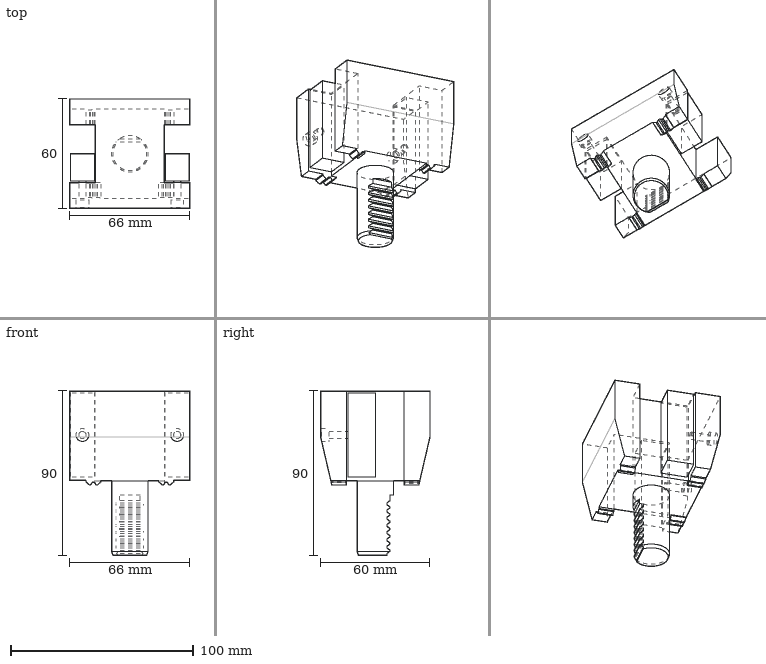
import cadquery as cq

WIDTH = 66.0
DEPTH = 60.0
HEIGHT = 49.2
OVERALL_LENGTH = 90.0

WEB_WIDTH = 38.0
FLANGE_DEPTH = 14.2
SLOT_WIDTH = (WIDTH - WEB_WIDTH) / 2
SLOT_DEPTH = DEPTH - 2 * FLANGE_DEPTH
SLOT_FRONT_Y = -SLOT_DEPTH / 2

TAPER_TOP_Z = HEIGHT - 25.2
TAPER_INSET = 6.1

TOOTH_PAIR_X = 20.0
TOOTH_PAIR_HALF_WIDTH = 4.1
TOOTH_PITCH = 3.8
TOOTH_TIP_WIDTH = 0.7
TOOTH_TIP_Z = -2.25
TOOTH_SIDE_Z = -0.45
TOOTH_GROOVE_Z = -0.7
TOOTH_GROOVE_WIDTH = 0.9
OUTER_EDGE_RISE = 0.315

SHANK_DIAMETER = 20.0
SHANK_LENGTH = OVERALL_LENGTH - HEIGHT
SHANK_CHAMFER_HEIGHT = 2.0
SHANK_CHAMFER_INSET = 0.7
FLAT_Y = 8.2
FLAT_TOP_Z = -7.8
RACK_ROOT_Y = 6.5
RACK_PITCH = 4.0
RACK_FIRST_GROOVE_Z = -12.5
RACK_GROOVE_COUNT = 8
RACK_ROOT_WIDTH = 1.1
RACK_MOUTH_WIDTH = 3.5

JAW_WIDTH = 13.3
JAW_DEPTH = 15.0
JAW_HEIGHT = 46.1
JAW_TOP_DROP = 1.0
JAW_FRONT_GAP = 0.8
JAW_X = (WEB_WIDTH + SLOT_WIDTH) / 2
JAW_CENTER_Z = HEIGHT - JAW_TOP_DROP - JAW_HEIGHT / 2
JAW_FRONT_Y = SLOT_FRONT_Y + JAW_FRONT_GAP

PIN_DIAMETER = 4.0
HEAD_DIAMETER = 7.0
HEAD_LENGTH = 4.0
HEAD_COVER = 0.6
HEAD_FRONT_Y = HEAD_COVER - DEPTH / 2

SIDES = (-1, 1)


def make_block():
    """I-shaped block, tapered at the front and back, down to the level of the tooth tips."""
    taper_bottom_y = DEPTH / 2 - TAPER_INSET
    block = (
        cq.Workplane("YZ")
        .moveTo(-DEPTH / 2, HEIGHT)
        .lineTo(-DEPTH / 2, TAPER_TOP_Z)
        .lineTo(-taper_bottom_y, TOOTH_TIP_Z)
        .lineTo(taper_bottom_y, TOOTH_TIP_Z)
        .lineTo(DEPTH / 2, TAPER_TOP_Z)
        .lineTo(DEPTH / 2, HEIGHT)
        .close()
        .extrude(WIDTH / 2, both=True)
    )
    for side in SIDES:
        slot = cq.Workplane("XY").box(SLOT_WIDTH, SLOT_DEPTH, 2 * OVERALL_LENGTH)
        block = block.cut(slot.translate((side * JAW_X, 0, 0)))
    web_underside = cq.Workplane("XY").box(
        WEB_WIDTH, DEPTH - FLANGE_DEPTH, -TOOTH_TIP_Z, centered=(True, False, False)
    )
    return block.cut(web_underside.translate((0, SLOT_FRONT_Y, TOOTH_TIP_Z)))


def underside_points():
    """Right half of the flange underside, from the middle to the outer edge."""
    inner_tip = TOOTH_PAIR_X - TOOTH_PITCH / 2
    outer_tip = TOOTH_PAIR_X + TOOTH_PITCH / 2
    half_tip = TOOTH_TIP_WIDTH / 2
    half_groove = TOOTH_GROOVE_WIDTH / 2
    inner_side = TOOTH_PAIR_X - TOOTH_PAIR_HALF_WIDTH
    outer_side = TOOTH_PAIR_X + TOOTH_PAIR_HALF_WIDTH
    return [
        (inner_side, 0),
        (inner_side, TOOTH_SIDE_Z),
        (inner_tip - half_tip, TOOTH_TIP_Z),
        (inner_tip + half_tip, TOOTH_TIP_Z),
        (TOOTH_PAIR_X - half_groove, TOOTH_GROOVE_Z),
        (TOOTH_PAIR_X + half_groove, TOOTH_GROOVE_Z),
        (outer_tip - half_tip, TOOTH_TIP_Z),
        (outer_tip + half_tip, TOOTH_TIP_Z),
        (outer_side, TOOTH_SIDE_Z),
        (outer_side, OUTER_EDGE_RISE),
        (WIDTH / 2, OUTER_EDGE_RISE),
    ]


def make_tooth_envelope():
    """Prism along Y that bounds the block from below with the tooth profile."""
    right_half = underside_points()
    left_half = [(-x, z) for x, z in reversed(right_half)]
    corners = [(-WIDTH / 2, HEIGHT), *left_half, *right_half, (WIDTH / 2, HEIGHT)]
    return cq.Workplane("XZ").polyline(corners).close().extrude(DEPTH / 2, both=True)


def make_shank():
    """Round shank with a tapered end, a flat on the back and rack grooves across the flat."""
    radius = SHANK_DIAMETER / 2
    shank = (
        cq.Workplane("XZ")
        .moveTo(0, 0)
        .lineTo(radius, 0)
        .lineTo(radius, SHANK_CHAMFER_HEIGHT - SHANK_LENGTH)
        .lineTo(radius - SHANK_CHAMFER_INSET, -SHANK_LENGTH)
        .lineTo(0, -SHANK_LENGTH)
        .close()
        .revolve(360, (0, 0, 0), (0, 1, 0))
    )
    flat = cq.Workplane("XY").box(
        SHANK_DIAMETER, SHANK_DIAMETER, SHANK_LENGTH, centered=(True, False, False)
    )
    shank = shank.cut(flat.translate((0, FLAT_Y, FLAT_TOP_Z - SHANK_LENGTH)))

    half_root = RACK_ROOT_WIDTH / 2
    half_mouth = RACK_MOUTH_WIDTH / 2
    groove = (
        cq.Workplane("YZ")
        .polyline([
            (RACK_ROOT_Y, -half_root),
            (FLAT_Y, -half_mouth),
            (FLAT_Y, half_mouth),
            (RACK_ROOT_Y, half_root),
        ])
        .close()
        .extrude(SHANK_DIAMETER, both=True)
    )
    for index in range(RACK_GROOVE_COUNT):
        shank = shank.cut(groove.translate((0, 0, RACK_FIRST_GROOVE_Z - index * RACK_PITCH)))
    return shank


def make_headed_pin(side):
    """Pin from the jaw face into the front flange, ending in a wider head."""
    head = (
        cq.Workplane("XZ", origin=(side * JAW_X, HEAD_FRONT_Y + HEAD_LENGTH, JAW_CENTER_Z))
        .circle(HEAD_DIAMETER / 2)
        .extrude(HEAD_LENGTH)
    )
    stem = (
        cq.Workplane("XZ", origin=(side * JAW_X, JAW_FRONT_Y, JAW_CENTER_Z))
        .circle(PIN_DIAMETER / 2)
        .extrude(JAW_FRONT_Y - HEAD_FRONT_Y)
    )
    return head.union(stem)


def make_jaw(side):
    """Rectangular clamping jaw with its headed guide pin."""
    jaw_center = (side * JAW_X, JAW_FRONT_Y + JAW_DEPTH / 2, JAW_CENTER_Z)
    jaw = cq.Workplane("XY").box(JAW_WIDTH, JAW_DEPTH, JAW_HEIGHT).translate(jaw_center)
    return jaw.union(make_headed_pin(side))


def make_housing():
    """Block and shank in one piece, with a fitting bore for each headed pin."""
    housing = make_block().intersect(make_tooth_envelope()).union(make_shank())
    for side in SIDES:
        housing = housing.cut(make_headed_pin(side))
    return housing


housing = make_housing()
jaws = [make_jaw(side) for side in SIDES]

result = cq.Compound.makeCompound([housing.val(), *[jaw.val() for jaw in jaws]])